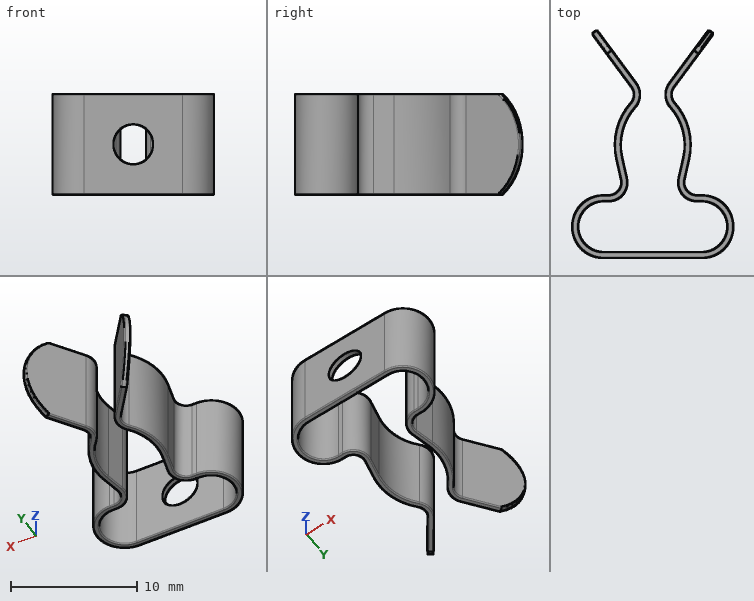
import cadquery as cq
import math


thickness = 0.5
strip_width = 8.0
rim_fillet = 0.1
half_thickness = thickness / 2

overall_width = 12.8
loop_height = 5.0
loop_radius = (loop_height - thickness) / 2
loop_x = (overall_width - loop_height) / 2
loop_y = loop_height / 2

bend_inside_radius = 1.0
bend_radius = bend_inside_radius + half_thickness
neck_gap = 4.0
lower_bend_x = neck_gap / 2 + thickness + bend_inside_radius
lower_bend_y = loop_height - half_thickness + bend_radius
throat_gap = 2.0
upper_bend_x = throat_gap / 2 + thickness + bend_inside_radius

grip_radius = 4.75
grip_x = -1.98
grip_y = 8.97

arm_angle = 36.5
arm_length = 5.28
tip_radius = 5.0
tip_sagitta = tip_radius - math.sqrt(tip_radius**2 - (strip_width / 2) ** 2)

hole_diameter = 3.15

bend_reach = grip_radius + bend_radius
neck_dx = lower_bend_x - grip_x
neck_dy = grip_y - lower_bend_y
neck_angle = math.degrees(
    math.atan2(neck_dy, neck_dx) - math.acos(bend_reach / math.hypot(neck_dx, neck_dy))
)
throat_angle = math.degrees(math.acos((upper_bend_x - grip_x) / bend_reach))
upper_bend_y = grip_y + bend_reach * math.sin(math.radians(throat_angle))

arm_sin = math.sin(math.radians(arm_angle))
arm_cos = math.cos(math.radians(arm_angle))
tip_x = upper_bend_x - bend_radius * arm_cos + arm_length * arm_sin
tip_y = upper_bend_y + bend_radius * arm_sin + arm_length * arm_cos


def polar(center, radius, angle):
    """Point on a circle, with the angle in degrees from +X."""
    turn = math.radians(angle)
    return (center[0] + radius * math.cos(turn), center[1] + radius * math.sin(turn))


def add_arc(path, center, radius, start, end):
    """Continue the path to the arc's start, then along the arc to its end."""
    path = path.lineTo(*polar(center, radius, start))
    return path.threePointArc(
        polar(center, radius, (start + end) / 2), polar(center, radius, end)
    )


def enclosed_half(offset):
    """Region between X = 0 and a face of the strip, offset outward from its middle."""
    grip_start = polar((grip_x, grip_y), grip_radius + offset, -neck_angle)
    grip_middle = polar((grip_x, grip_y), grip_radius + offset, (throat_angle - neck_angle) / 2)
    grip_end = polar((grip_x, grip_y), grip_radius + offset, throat_angle)
    upper_bend = (upper_bend_x, upper_bend_y)
    upper_middle = polar(upper_bend, bend_radius - offset, 180 + (throat_angle - arm_angle) / 2)
    upper_end = polar(upper_bend, bend_radius - offset, 180 - arm_angle)

    path = cq.Workplane("XY").moveTo(0, half_thickness - offset)
    path = add_arc(path, (loop_x, loop_y), loop_radius + offset, -90, 90)
    path = add_arc(
        path, (lower_bend_x, lower_bend_y), bend_radius - offset, 270, 180 - neck_angle
    )
    path = path.lineTo(*grip_start).threePointArc(grip_middle, grip_end)
    path = path.threePointArc(upper_middle, upper_end)
    path = path.lineTo(tip_x + offset * arm_cos, tip_y - offset * arm_sin)
    path = path.lineTo(0, tip_y + tip_x * arm_sin / arm_cos).close()
    return path.extrude(strip_width / 2, both=True)


def tip_trim():
    """Everything outside the rounded end of the arm."""
    margin = 1.0
    arm_plane = cq.Plane(
        origin=(tip_x, tip_y, 0), xDir=(arm_sin, arm_cos, 0), normal=(arm_cos, -arm_sin, 0)
    )
    block_length = tip_sagitta + margin
    block = (
        cq.Workplane(arm_plane)
        .center(margin - block_length / 2, 0)
        .rect(block_length, strip_width + margin)
        .extrude(thickness, both=True)
    )
    rounded_end = (
        cq.Workplane(arm_plane).center(-tip_radius, 0).circle(tip_radius).extrude(thickness, both=True)
    )
    return block.cut(rounded_end)


def round_rims(body):
    """Fillet the long edges of the strip, leaving its short corner edges sharp."""
    tolerance = 1e-4
    rims = [
        edge
        for edge in body.edges("not |Z").vals()
        if abs(edge.Length() - thickness) > tolerance
    ]
    return body.newObject(rims).fillet(rim_fillet)


def mounting_hole():
    """Cylinder along Y through the base only."""
    return cq.Workplane("XZ").circle(hole_diameter / 2).extrude(thickness, both=True)


half_clip = enclosed_half(half_thickness).cut(enclosed_half(-half_thickness)).cut(tip_trim())
clip = half_clip.union(half_clip.mirror("YZ"))
result = round_rims(clip).cut(mounting_hole())